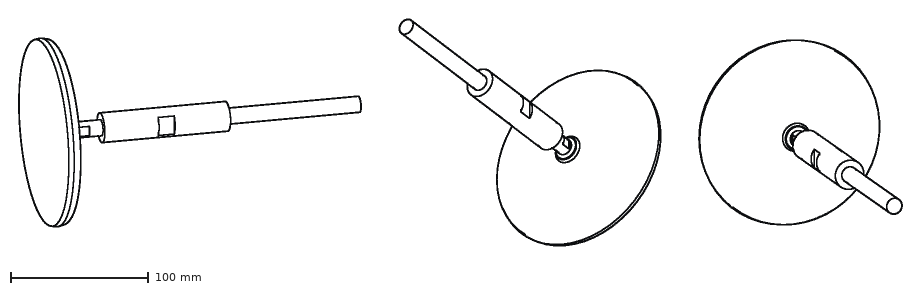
import cadquery as cq

total_length = 238.0
rod_radius = 12.0 / 2

rim_radius = 138.0 / 2
sole_radius = 68.3
rim_level = 3.8
shoulder_level = 6.7
shoulder_end_radius = 66.0
shoulder_end_level = 9.8
neck_base_radius = 10.5
neck_base_level = 19.0
neck_top_radius = 9.0
neck_top_level = 21.2

collar_radius = 8.5
collar_edge_level = 21.7
collar_top_level = 23.0
spindle_flat_start = 25.0
spindle_flat_length = 8.0
spindle_across_flats = 9.5

sleeve_radius = 22.0 / 2
sleeve_start = 43.0
sleeve_length = 95.0
sleeve_flat_start = 84.0
sleeve_flat_length = 12.1
sleeve_across_flats = 17.0


def turned(outline):
    """Revolve a closed (radius, level) outline about the Y axis."""
    return outline.close().revolve(360, (0, 0, 0), (0, 1, 0))


def rod_along_y(radius, start, length):
    return cq.Workplane("XZ", origin=(0, start, 0)).circle(radius).extrude(-length)


def cut_wrench_flats(body, radius, across_flats, start, length):
    """Cut two opposite flats, facing -X and +X."""
    depth = radius - across_flats / 2
    for side in (-1, 1):
        cutter = cq.Workplane("XY").box(depth, length, 2 * radius)
        cutter = cutter.translate((side * (radius - depth / 2), start + length / 2, 0))
        body = body.cut(cutter)
    return body


def make_foot():
    """Conical disc with a rounded shoulder and a short flared neck."""
    outline = (
        cq.Workplane("XY")
        .moveTo(0, 0)
        .lineTo(0, neck_top_level)
        .lineTo(neck_top_radius, neck_top_level)
        .lineTo(neck_base_radius, neck_base_level)
        .lineTo(shoulder_end_radius, shoulder_end_level)
        .tangentArcPoint((sole_radius, shoulder_level), relative=False)
        .lineTo(rim_radius, rim_level)
        .lineTo(sole_radius, 0)
    )
    return turned(outline)


def make_spindle():
    """Rod running through the sleeve, with a conical collar resting on the neck."""
    outline = (
        cq.Workplane("XY")
        .moveTo(0, neck_top_level)
        .lineTo(collar_radius, neck_top_level)
        .lineTo(collar_radius, collar_edge_level)
        .lineTo(rod_radius, collar_top_level)
        .lineTo(rod_radius, total_length)
        .lineTo(0, total_length)
    )
    return cut_wrench_flats(
        turned(outline), rod_radius, spindle_across_flats, spindle_flat_start, spindle_flat_length
    )


def make_sleeve():
    """Tube around the spindle, with its own pair of wrench flats."""
    tube = rod_along_y(sleeve_radius, sleeve_start, sleeve_length)
    tube = tube.cut(rod_along_y(rod_radius, sleeve_start, sleeve_length))
    return cut_wrench_flats(
        tube, sleeve_radius, sleeve_across_flats, sleeve_flat_start, sleeve_flat_length
    )


foot = make_foot()
spindle = make_spindle()
sleeve = make_sleeve()

result = cq.Compound.makeCompound([foot.val(), spindle.val(), sleeve.val()])